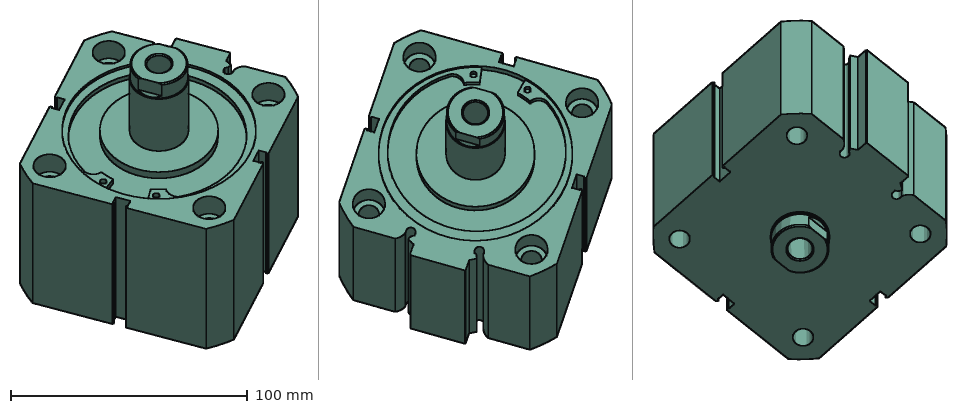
import cadquery as cq
import math


HOUSING_HEIGHT = 72.0
HOUSING_WIDTH = 96.5
HALF_WIDTH = HOUSING_WIDTH / 2
CORNER_RADIUS = 62.1
BORE_RADIUS = 41.0

MOUNT_SPACING = 72.0
MOUNT_HOLE_DIAMETER = 8.7
MOUNT_COUNTERBORE_DIAMETER = 13.7
MOUNT_COUNTERBORE_DEPTH = 10.5

SLOT_DEPTH = 4.5
SLOT_WIDTH = 6.6
SLOT_MOUTH_WIDTH = 5.4
SLOT_LIP_THICKNESS = 1.1
SLOT_LIP_CHAMFER = 0.5

OVERALL_DEPTH = 102.0
RAIL_TOP = OVERALL_DEPTH - HALF_WIDTH
RAIL_HALF_WIDTH = 12.3
RAIL_CORNER_CHAMFER = 0.4
RAIL_BASE_Y = 48.5
RAIL_BARB_TIP = (15.2, 46.8)
RAIL_BARB_HEEL = (14.5, 45.3)
GROOVE_INNER_X = 13.2
GROOVE_OUTER_X = 17.2
GROOVE_WALL_TOP = 44.4
GROOVE_BOTTOM = 41.2
GROOVE_ROUND_MIDDLE = (18.7, 46.8)
GROOVE_ROUND_END_X = 20.6
GROOVE_RADIUS = (GROOVE_OUTER_X - GROOVE_INNER_X) / 2
GROOVE_CENTRE_X = (GROOVE_OUTER_X + GROOVE_INNER_X) / 2
GROOVE_CENTRE_Y = GROOVE_BOTTOM + GROOVE_RADIUS

RING_THICKNESS = 2.5
RING_TOP = HOUSING_HEIGHT - 1.3
RING_BOTTOM = RING_TOP - RING_THICKNESS
RING_INNER_RADIUS = 37.7
RING_INNER_CENTRE_Y = -1.8
LUG_NECK_START_X = 21.4
LUG_NECK_MIDDLE = (18.0, -33.3)
LUG_RADIUS = 34.0
LUG_OUTER_X = 14.6
LUG_INNER_X = 8.4
LUG_GAP_HALF_WIDTH = 9.6
LUG_HOLE_POSITION = (12.0, -35.6)
LUG_HOLE_DIAMETER = 2.8

COVER_FLANGE_THICKNESS = 12.2
COVER_BOSS_RADIUS = 25.0
COVER_BOSS_HEIGHT = HOUSING_HEIGHT - RING_BOTTOM
COVER_BOTTOM = RING_BOTTOM - COVER_FLANGE_THICKNESS

ROD_LENGTH = 122.0
ROD_PROJECTION_ABOVE = 40.0
ROD_TOP = HOUSING_HEIGHT + ROD_PROJECTION_ABOVE
ROD_RADIUS = 25.0 / 2
ROD_END_RADIUS = 12.2
ROD_END_LENGTH = 8.5
ROD_END_CHAMFER = 0.6
FLAT_SPACING = 22.0
FLAT_LENGTH = 7.2
ROD_HOLE_RADIUS = 5.2
ROD_HOLE_DEPTH = 22.0
ROD_HOLE_CHAMFER = 0.6
DRILL_POINT_ANGLE = 118


def y_on_circle(x, radius, centre_y=0.0):
    """Y of the lower half of a circle centred on the Y axis."""
    return centre_y - math.sqrt(radius**2 - x**2)


def housing_outline():
    """Square with rounded corners and a barbed rail between two grooves at +Y."""
    corner = math.sqrt(CORNER_RADIUS**2 - HALF_WIDTH**2)
    diagonal = CORNER_RADIUS * math.sqrt(0.5)
    right_half = (
        cq.Workplane("XY")
        .moveTo(0, -HALF_WIDTH)
        .lineTo(corner, -HALF_WIDTH)
        .threePointArc((diagonal, -diagonal), (HALF_WIDTH, -corner))
        .lineTo(HALF_WIDTH, corner)
        .threePointArc((diagonal, diagonal), (corner, HALF_WIDTH))
        .lineTo(GROOVE_ROUND_END_X, HALF_WIDTH)
        .threePointArc(GROOVE_ROUND_MIDDLE, (GROOVE_OUTER_X, GROOVE_WALL_TOP))
        .lineTo(GROOVE_OUTER_X, GROOVE_CENTRE_Y)
        .threePointArc((GROOVE_CENTRE_X, GROOVE_BOTTOM), (GROOVE_INNER_X, GROOVE_CENTRE_Y))
        .lineTo(GROOVE_INNER_X, GROOVE_WALL_TOP)
        .lineTo(*RAIL_BARB_HEEL)
        .lineTo(*RAIL_BARB_TIP)
        .lineTo(RAIL_HALF_WIDTH, RAIL_BASE_Y)
        .lineTo(RAIL_HALF_WIDTH, RAIL_TOP - RAIL_CORNER_CHAMFER)
        .lineTo(RAIL_HALF_WIDTH - RAIL_CORNER_CHAMFER, RAIL_TOP)
        .lineTo(0, RAIL_TOP)
    )
    return right_half.mirrorY()


def sensor_slot():
    """Cutter for the slot in the -Y face."""
    mouth = SLOT_MOUTH_WIDTH / 2
    channel = SLOT_WIDTH / 2
    lip_y = -HALF_WIDTH + SLOT_LIP_THICKNESS
    return (
        cq.Workplane("XY")
        .moveTo(0, -HALF_WIDTH)
        .lineTo(mouth + SLOT_LIP_CHAMFER, -HALF_WIDTH)
        .lineTo(mouth, -HALF_WIDTH + SLOT_LIP_CHAMFER)
        .lineTo(mouth, lip_y)
        .lineTo(channel, lip_y)
        .lineTo(channel, -HALF_WIDTH + SLOT_DEPTH)
        .lineTo(0, -HALF_WIDTH + SLOT_DEPTH)
        .mirrorY()
        .extrude(HOUSING_HEIGHT)
    )


def make_housing():
    body = housing_outline().extrude(HOUSING_HEIGHT)
    for angle in (-90, 0, 90):
        body = body.cut(sensor_slot().rotate((0, 0, 0), (0, 0, 1), angle))
    body = (
        body.faces(">Z")
        .workplane(origin=(0, 0, HOUSING_HEIGHT))
        .rect(MOUNT_SPACING, MOUNT_SPACING, forConstruction=True)
        .vertices()
        .cboreHole(MOUNT_HOLE_DIAMETER, MOUNT_COUNTERBORE_DIAMETER, MOUNT_COUNTERBORE_DEPTH)
    )
    cover_bore = (
        cq.Workplane("XY", origin=(0, 0, COVER_BOTTOM))
        .circle(BORE_RADIUS)
        .extrude(HOUSING_HEIGHT - COVER_BOTTOM)
    )
    rod_passage = cq.Workplane("XY").circle(ROD_RADIUS).extrude(HOUSING_HEIGHT)
    return body.cut(cover_bore).cut(rod_passage)


def make_cover():
    """Flange with a central boss that ends level with the top of the housing."""
    return (
        cq.Workplane("XY", origin=(0, 0, COVER_BOTTOM))
        .circle(BORE_RADIUS)
        .extrude(COVER_FLANGE_THICKNESS)
        .faces(">Z")
        .workplane()
        .circle(COVER_BOSS_RADIUS)
        .extrude(COVER_BOSS_HEIGHT)
        .faces(">Z")
        .workplane()
        .hole(2 * ROD_RADIUS)
    )


def make_retaining_ring():
    """Open ring whose two lugs, each with a pliers hole, face -Y."""
    neck_y = y_on_circle(LUG_NECK_START_X, RING_INNER_RADIUS, RING_INNER_CENTRE_Y)
    lug_outer_y = y_on_circle(LUG_OUTER_X, LUG_RADIUS)
    lug_inner_y = y_on_circle(LUG_INNER_X, LUG_RADIUS)
    lug_middle_x = (LUG_OUTER_X + LUG_INNER_X) / 2
    gap_y = y_on_circle(LUG_GAP_HALF_WIDTH, BORE_RADIUS)
    lug_middle_y = y_on_circle(lug_middle_x, LUG_RADIUS)
    neck_x, neck_middle_y = LUG_NECK_MIDDLE
    inner_top_y = RING_INNER_CENTRE_Y + RING_INNER_RADIUS
    hole_x, hole_y = LUG_HOLE_POSITION
    blank = (
        cq.Workplane("XY", origin=(0, 0, RING_BOTTOM))
        .moveTo(-LUG_GAP_HALF_WIDTH, gap_y)
        .threePointArc((0, BORE_RADIUS), (LUG_GAP_HALF_WIDTH, gap_y))
        .lineTo(LUG_INNER_X, lug_inner_y)
        .threePointArc((lug_middle_x, lug_middle_y), (LUG_OUTER_X, lug_outer_y))
        .threePointArc(LUG_NECK_MIDDLE, (LUG_NECK_START_X, neck_y))
        .threePointArc((0, inner_top_y), (-LUG_NECK_START_X, neck_y))
        .threePointArc((-neck_x, neck_middle_y), (-LUG_OUTER_X, lug_outer_y))
        .threePointArc((-lug_middle_x, lug_middle_y), (-LUG_INNER_X, lug_inner_y))
        .close()
        .extrude(RING_THICKNESS)
    )
    pliers_holes = (
        cq.Workplane("XY", origin=(0, 0, RING_BOTTOM))
        .pushPoints([(-hole_x, hole_y), (hole_x, hole_y)])
        .circle(LUG_HOLE_DIAMETER / 2)
        .extrude(RING_THICKNESS)
    )
    return blank.cut(pliers_holes)


def rod_profile():
    """Half section of the rod, from the axis out, between its two end faces."""
    shoulder = ROD_RADIUS - ROD_END_RADIUS
    return (
        cq.Workplane("XZ")
        .moveTo(0, 0)
        .lineTo(ROD_END_RADIUS - ROD_END_CHAMFER, 0)
        .lineTo(ROD_END_RADIUS, ROD_END_CHAMFER)
        .lineTo(ROD_END_RADIUS, ROD_END_LENGTH)
        .lineTo(ROD_RADIUS, ROD_END_LENGTH + shoulder)
        .lineTo(ROD_RADIUS, ROD_LENGTH - ROD_END_LENGTH - shoulder)
        .lineTo(ROD_END_RADIUS, ROD_LENGTH - ROD_END_LENGTH)
        .lineTo(ROD_END_RADIUS, ROD_LENGTH - ROD_END_CHAMFER)
        .lineTo(ROD_END_RADIUS - ROD_END_CHAMFER, ROD_LENGTH)
        .lineTo(0, ROD_LENGTH)
        .close()
    )


def flat_cutter():
    """Cutter for the +Y flat at the lower rod end, running out at 45 degrees."""
    flat_y = FLAT_SPACING / 2
    runout = ROD_RADIUS
    return (
        cq.Workplane("YZ")
        .moveTo(flat_y, 0)
        .lineTo(flat_y, FLAT_LENGTH)
        .lineTo(flat_y + runout, FLAT_LENGTH + runout)
        .lineTo(flat_y + runout, 0)
        .close()
        .extrude(2 * ROD_RADIUS, both=True)
    )


def rod_hole_cutter():
    """Drilled hole in the lower rod end, with a chamfered rim and a conical bottom."""
    point_length = ROD_HOLE_RADIUS / math.tan(math.radians(DRILL_POINT_ANGLE / 2))
    return (
        cq.Workplane("XZ")
        .moveTo(0, 0)
        .lineTo(ROD_HOLE_RADIUS + ROD_HOLE_CHAMFER, 0)
        .lineTo(ROD_HOLE_RADIUS, ROD_HOLE_CHAMFER)
        .lineTo(ROD_HOLE_RADIUS, ROD_HOLE_DEPTH)
        .lineTo(0, ROD_HOLE_DEPTH + point_length)
        .close()
        .revolve(360, (0, 0, 0), (0, 1, 0))
    )


def make_rod():
    rod = rod_profile().revolve(360, (0, 0, 0), (0, 1, 0))
    middle = (0, 0, ROD_LENGTH / 2)
    end_cutters = [flat_cutter(), flat_cutter().mirror("XZ"), rod_hole_cutter()]
    for cutter in end_cutters:
        rod = rod.cut(cutter)
        rod = rod.cut(cutter.mirror("XY", middle))
    return rod.translate((0, 0, ROD_TOP - ROD_LENGTH))


housing = make_housing()
cover = make_cover()
retaining_ring = make_retaining_ring()
rod = make_rod()

result = cq.Compound.makeCompound([housing.val(), cover.val(), retaining_ring.val(), rod.val()])